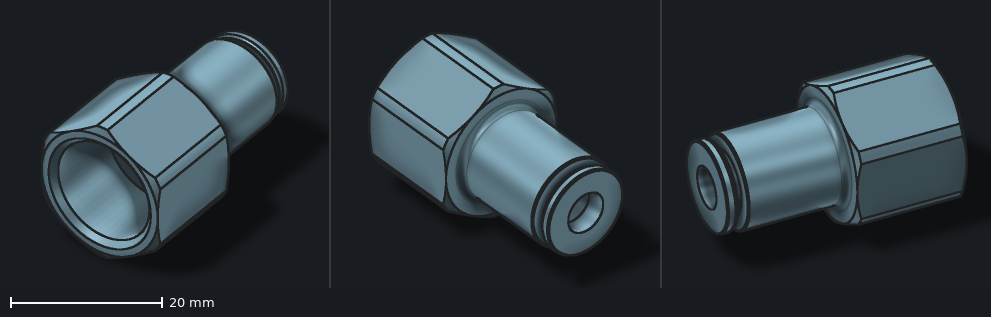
import cadquery as cq
import math

TOTAL_LENGTH = 33.55

HEX_ACROSS_FLATS = 19.0
HEX_CORNER_DIAMETER = 21.0
HEX_LENGTH = 16.0
HEX_CHAMFER_ANGLE = 30.0

SOCKET_DIAMETER = 14.93
SOCKET_MOUTH_DIAMETER = 16.75
SOCKET_DEPTH = 12.08
PASSAGE_DIAMETER = 6.0

SLEEVE_DIAMETER = 13.6
SLEEVE_END = 30.65
SLEEVE_CHAMFER = 0.2
SLEEVE_ROOT_FILLET = 1.0

NECK_DIAMETER = 9.43
NECK_FILLET = 0.2
FLANGE_DIAMETER = 12.95
FLANGE_THICKNESS = 1.75
FLANGE_END_CHAMFER = 0.2
FLANGE_LIP_HEIGHT = 0.15
FLANGE_BEVEL_LENGTH = 0.45
FLANGE_BEVEL_DEPTH = 0.35


def revolve_about_y(profile):
    """Turn a closed (radius, y) profile about the Y axis."""
    return profile.close().revolve(360, (0, 0, 0), (0, 1, 0))


def make_hex():
    """Hexagonal prism with its corners turned down and both ends chamfered."""
    circumscribed_radius = HEX_ACROSS_FLATS / math.sqrt(3)
    hex_outline = [
        (circumscribed_radius * math.sin(corner * math.pi / 3),
         circumscribed_radius * math.cos(corner * math.pi / 3))
        for corner in range(6)
    ]
    prism = cq.Workplane("XZ").polyline(hex_outline).close().extrude(-HEX_LENGTH)
    corner_radius = HEX_CORNER_DIAMETER / 2
    end_radius = HEX_ACROSS_FLATS / 2
    chamfer_length = (corner_radius - end_radius) * math.tan(math.radians(HEX_CHAMFER_ANGLE))
    turned_envelope = revolve_about_y(
        cq.Workplane("XY")
        .moveTo(0, 0)
        .lineTo(end_radius, 0)
        .lineTo(corner_radius, chamfer_length)
        .lineTo(corner_radius, HEX_LENGTH - chamfer_length)
        .lineTo(end_radius, HEX_LENGTH)
        .lineTo(0, HEX_LENGTH)
    )
    return prism.intersect(turned_envelope)


def make_sleeve():
    """Round sleeve with a chamfered end and a fillet flaring onto the hexagon."""
    radius = SLEEVE_DIAMETER / 2
    fillet_middle = SLEEVE_ROOT_FILLET * (1 - math.sqrt(0.5))
    return revolve_about_y(
        cq.Workplane("XY")
        .moveTo(0, HEX_LENGTH)
        .lineTo(radius + SLEEVE_ROOT_FILLET, HEX_LENGTH)
        .threePointArc(
            (radius + fillet_middle, HEX_LENGTH + fillet_middle),
            (radius, HEX_LENGTH + SLEEVE_ROOT_FILLET),
        )
        .lineTo(radius, SLEEVE_END - SLEEVE_CHAMFER)
        .lineTo(radius - SLEEVE_CHAMFER, SLEEVE_END)
        .lineTo(0, SLEEVE_END)
    )


def make_bore():
    """Chamfered socket followed by the flow passage, as one cutting body."""
    socket_radius = SOCKET_DIAMETER / 2
    mouth_radius = SOCKET_MOUTH_DIAMETER / 2
    passage_radius = PASSAGE_DIAMETER / 2
    return revolve_about_y(
        cq.Workplane("XY")
        .moveTo(0, 0)
        .lineTo(mouth_radius, 0)
        .lineTo(socket_radius, mouth_radius - socket_radius)
        .lineTo(socket_radius, SOCKET_DEPTH)
        .lineTo(passage_radius, SOCKET_DEPTH)
        .lineTo(passage_radius, SLEEVE_END)
        .lineTo(0, SLEEVE_END)
    )


def make_housing():
    """Hexagon and sleeve in one piece, bored through."""
    return make_hex().union(make_sleeve()).cut(make_bore())


def make_collar():
    """Release collar: a neck on the sleeve end, filleted into a bevelled flange."""
    passage_radius = PASSAGE_DIAMETER / 2
    neck_radius = NECK_DIAMETER / 2
    flange_radius = FLANGE_DIAMETER / 2
    lip_radius = flange_radius - FLANGE_BEVEL_DEPTH
    flange_start = TOTAL_LENGTH - FLANGE_THICKNESS
    bevel_start = flange_start + FLANGE_LIP_HEIGHT
    fillet_middle = NECK_FILLET * (1 - math.sqrt(0.5))
    return revolve_about_y(
        cq.Workplane("XY")
        .moveTo(passage_radius, SLEEVE_END)
        .lineTo(neck_radius, SLEEVE_END)
        .lineTo(neck_radius, flange_start - NECK_FILLET)
        .threePointArc(
            (neck_radius + fillet_middle, flange_start - fillet_middle),
            (neck_radius + NECK_FILLET, flange_start),
        )
        .lineTo(lip_radius, flange_start)
        .lineTo(lip_radius, bevel_start)
        .lineTo(flange_radius, bevel_start + FLANGE_BEVEL_LENGTH)
        .lineTo(flange_radius, TOTAL_LENGTH - FLANGE_END_CHAMFER)
        .lineTo(flange_radius - FLANGE_END_CHAMFER, TOTAL_LENGTH)
        .lineTo(passage_radius, TOTAL_LENGTH)
    )


housing = make_housing()
collar = make_collar()

result = cq.Compound.makeCompound([housing.val(), collar.val()])